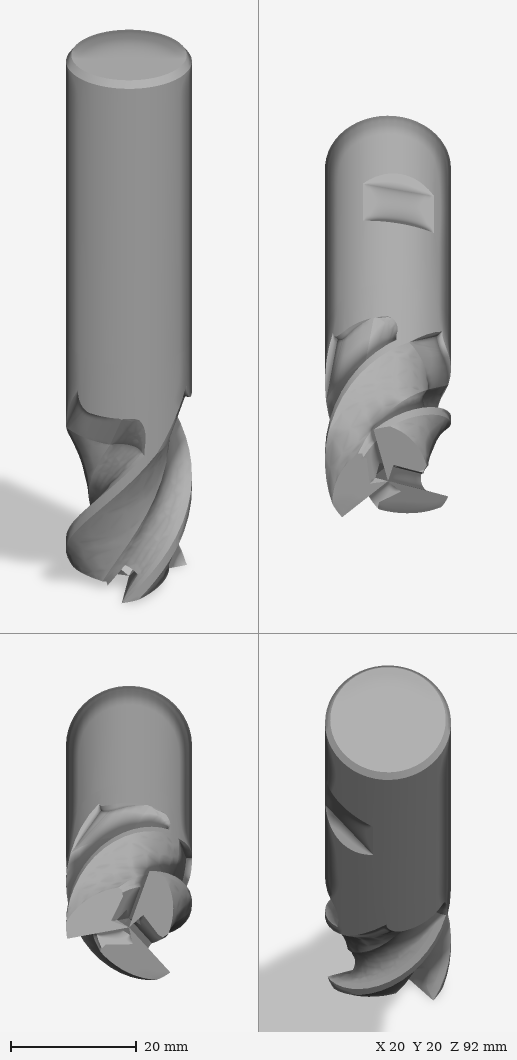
import cadquery as cq
import math

total_length = 92.0
diameter = 20.0
radius = diameter / 2
joint_height = 42.1

chamfer_width = 0.8
chamfer_height = 1.1
flat_bottom = 59.8
flat_top = 74.2
flat_depth = 1.8

flute_count = 3
flute_spacing = 360 / flute_count
helix_height = 25.9
twist_rate = 5.435
helix_twist = twist_rate * helix_height
rake_angle = 56.0
back_angle = -52.0
crease_radius = 6.4
crease_angle = 14.0
rake_land_radius = 8.8
rake_land_angle = 55.0
back_bulge_radius = 7.8
back_bulge_angle = -26.0
gullet_radius = 5.8
gullet_angle = 42.0
outside_radius = 2 * radius

runout_across_slope = 0.65
runout_outward_slope = 0.3
runout_top = 35.8
runout_shoulder = 32.6
runout_wall_flare = 12.0
runout_side = 8.5
corner_width = 1.2
corner_height = 2.2
shoulder_start = 0.6
shoulder_radius = 2.8

edge_angle = rake_angle - helix_twist
relief_slope = 0.22
gash_depth = 4.6
gash_width = 3.2
gash_lean = 2.2
gash_wall_height = 3.7
overcut = 0.9


def flute_point(distance, angle):
    """Point in the section at a distance from the axis and an angle from -Y."""
    turn = math.radians(angle)
    return (distance * math.sin(turn), -distance * math.cos(turn))


rake_edge = flute_point(radius, rake_angle)
rake_land = flute_point(rake_land_radius, rake_land_angle)
gullet = flute_point(gullet_radius, gullet_angle)
crease = flute_point(crease_radius, crease_angle)
back_bulge = flute_point(back_bulge_radius, back_bulge_angle)
back_edge = flute_point(radius, back_angle)


def flute_section(outer_back, outer_rake):
    """Flute outline, closed outside the cutter through the two outer points."""
    return (
        cq.Workplane("XY")
        .moveTo(*rake_edge)
        .lineTo(*rake_land)
        .threePointArc(gullet, crease)
        .threePointArc(back_bulge, back_edge)
        .lineTo(*outer_back)
        .lineTo(*outer_rake)
        .close()
    )


def make_helix_flute():
    section = flute_section(flute_point(outside_radius, back_angle), flute_point(outside_radius, rake_angle))
    flute = section.twistExtrude(helix_height, helix_twist)
    return flute.rotate((0, 0, 0), (0, 0, 1), -helix_twist)


def make_runout():
    """Flute section carried straight up and outward, ending in a rounded shoulder."""
    rise = runout_top - helix_height
    outer_back = (back_edge[0] - runout_wall_flare, -outside_radius)
    outer_rake = (outside_radius, -outside_radius)
    bottom = flute_section(outer_back, outer_rake).wires().val()
    shift = cq.Vector(runout_across_slope * rise, -runout_outward_slope * rise, rise)
    channel = cq.Solid.extrudeLinear(bottom, [], shift).moved(cq.Location(cq.Vector(0, 0, helix_height)))
    diagonal = math.sqrt(0.5)
    envelope = (
        cq.Workplane("XZ")
        .moveTo(-radius, helix_height)
        .lineTo(runout_side, helix_height)
        .lineTo(runout_side, runout_shoulder - corner_height)
        .threePointArc(
            (runout_side - corner_width * (1 - diagonal), runout_shoulder - corner_height * (1 - diagonal)),
            (runout_side - corner_width, runout_shoulder),
        )
        .lineTo(shoulder_start, runout_shoulder)
        .threePointArc(
            (shoulder_start - shoulder_radius * diagonal, runout_shoulder + shoulder_radius * (1 - diagonal)),
            (shoulder_start - shoulder_radius, runout_shoulder + shoulder_radius),
        )
        .lineTo(shoulder_start - shoulder_radius, runout_top)
        .lineTo(-radius, runout_top)
        .close()
        .extrude(outside_radius)
    )
    return envelope.intersect(cq.Workplane(channel))


def make_end_cut():
    """Gash ahead of an end cutting edge and relief behind it; the edge lies along -Y."""
    return (
        cq.Workplane("XZ")
        .polyline([
            (-gash_width, 0),
            (0, gash_depth),
            (gash_lean, gash_wall_height),
            (0, 0),
            (radius + overcut, relief_slope * (radius + overcut)),
            (radius + overcut, -overcut),
            (-gash_width, -overcut),
        ])
        .close()
        .extrude(radius + overcut)
        .rotate((0, 0, 0), (0, 0, 1), edge_angle)
    )


def make_cutter():
    cutter = cq.Workplane("XY").circle(radius).extrude(joint_height)
    cuts = [make_helix_flute(), make_runout(), make_end_cut()]
    for index in range(flute_count):
        for cut in cuts:
            cutter = cutter.cut(cut.rotate((0, 0, 0), (0, 0, 1), index * flute_spacing))
    return cutter


def make_shank():
    shank = (
        cq.Workplane("XY", origin=(0, 0, joint_height))
        .circle(radius)
        .extrude(total_length - joint_height)
        .faces(">Z")
        .chamfer(chamfer_height, chamfer_width)
    )
    clamping_flat = (
        cq.Workplane("YZ")
        .polyline([
            (radius, flat_bottom),
            (radius - flat_depth, flat_bottom + flat_depth),
            (radius - flat_depth, flat_top - flat_depth),
            (radius, flat_top),
        ])
        .close()
        .extrude(radius, both=True)
    )
    return shank.cut(clamping_flat)


cutter = make_cutter()
shank = make_shank()

result = cq.Compound.makeCompound([*shank.solids().vals(), *cutter.solids().vals()])